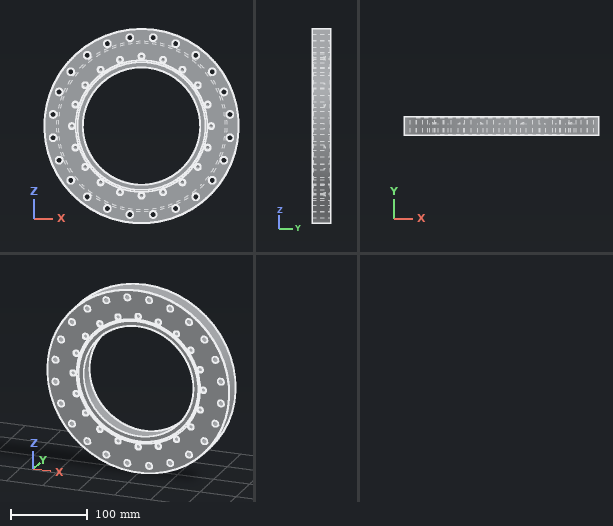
import cadquery as cq
import math

outer_diameter = 253.2
thickness = 24.5
bore_diameter = 152.5
rim_chamfer = 0.5

front_recess_diameter = 171.5
back_recess_diameter = 221.8
knife_flank_width = 2.5
knife_tip_depth = 0.8
seat_depth = 1.3
recess_depth = 1.5

through_hole_count = 24
through_hole_diameter = 8.5
through_circle_diameter = 232.0

blind_hole_count = 20
blind_hole_diameter = 6.8
blind_hole_depth = 15.2
blind_mouth_diameter = 8.0
blind_circle_diameter = 181.0
drill_point_angle = 118.0

outer_radius = outer_diameter / 2
bore_radius = bore_diameter / 2
front = -thickness / 2
back = thickness / 2


def revolve_about_y(points):
    """Revolve a closed (y, radius) outline a full turn about the Y axis."""
    return cq.Workplane("YZ").polyline(points).close().revolve(360, (0, 0), (1, 0))


def seal_outline(face, inward, recess_diameter):
    """Points of one sealing recess, from the bore out to the face.

    inward is +1 or -1, the Y direction from the face into the flange.
    """
    recess_radius = recess_diameter / 2
    knife_radius = recess_radius - knife_flank_width
    return [
        (face + inward * seat_depth, bore_radius),
        (face + inward * seat_depth, knife_radius),
        (face + inward * knife_tip_depth, knife_radius),
        (face + inward * recess_depth, recess_radius),
        (face, recess_radius),
    ]


def flange_body():
    """Ring with chamfered rims and a knife-edge recess in both faces."""
    rim_outline = [
        (front, outer_radius - rim_chamfer),
        (front + rim_chamfer, outer_radius),
        (back - rim_chamfer, outer_radius),
        (back, outer_radius - rim_chamfer),
    ]
    front_seal = seal_outline(front, 1, front_recess_diameter)
    back_seal = seal_outline(back, -1, back_recess_diameter)
    return revolve_about_y(front_seal + rim_outline + back_seal[::-1])


def through_hole_cutter():
    radius = through_hole_diameter / 2
    return revolve_about_y([(front, 0), (front, radius), (back, radius), (back, 0)])


def blind_hole_cutter():
    """Drilled hole with a 45 degree countersunk mouth and a conical bottom."""
    radius = blind_hole_diameter / 2
    mouth_radius = blind_mouth_diameter / 2
    mouth_depth = mouth_radius - radius
    point_height = radius / math.tan(math.radians(drill_point_angle / 2))
    return revolve_about_y([
        (front, 0),
        (front, mouth_radius),
        (front + mouth_depth, radius),
        (front + blind_hole_depth, radius),
        (front + blind_hole_depth + point_height, 0),
    ])


def cut_hole_ring(body, cutter, count, circle_diameter, start_angle):
    """Cut equally spaced holes, the first at start_angle from +X."""
    for index in range(count):
        angle = math.radians(start_angle + index * 360 / count)
        x = circle_diameter / 2 * math.cos(angle)
        z = circle_diameter / 2 * math.sin(angle)
        body = body.cut(cutter.translate((x, 0, z)))
    return body


half_pitch = 180 / through_hole_count
result = flange_body()
result = cut_hole_ring(
    result, through_hole_cutter(), through_hole_count, through_circle_diameter, half_pitch
)
result = cut_hole_ring(result, blind_hole_cutter(), blind_hole_count, blind_circle_diameter, 0)